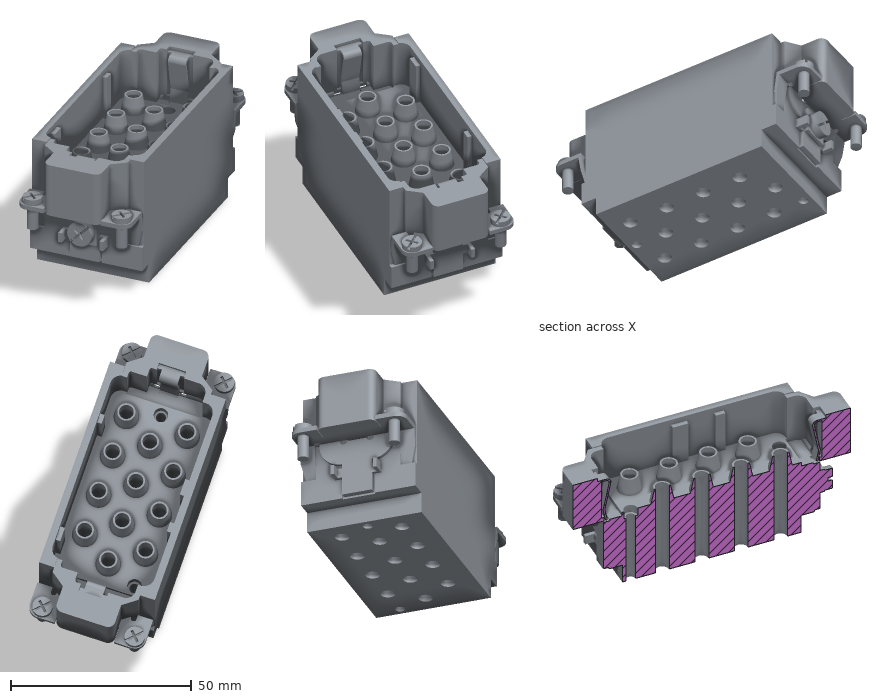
import cadquery as cq
import math


WIDTH = 34.0
HALF_WIDTH = WIDTH / 2
BASE_LENGTH = 54.3
BASE_HEIGHT = 6.0
BODY_LENGTH = 64.0
BODY_END = BODY_LENGTH / 2
WALL_LENGTH = 61.35
WALL_END = WALL_LENGTH / 2
WALL_TOP = 39.7
LEDGE_Z = 13.35

CAVITY_WIDTH = 29.8
CAVITY_END = 27.9
CAVITY_CORNER = 2.95
FLOOR_Z = 24.9

HOOD_END = 42.25
HOOD_TOP = 39.4
HOOD_BOTTOM = 23.5
HOOD_HALF = 8.5
HOOD_NECK_HALF = 12.6
HOOD_SHOULDER_Y = 35.0
HOOD_CORNER = 2.0

POCKET_HALF = 11.1
POCKET_START = 27.4
POCKET_END = 32.7
POCKET_STEP_X = -5.9
POCKET_STEP_Y = 29.9
POCKET_SMALL_CORNER = 0.8
POCKET_LARGE_CORNER = 2.7
POCKET_FLOOR = 23.7
RIDGE_WIDTH = 0.8
RIDGE_HEIGHT = 1.2
RIDGE_RADIUS = 1.35
RIDGE_HALF = 10.1

CLIP_WIDTH = 5.4
CLIP_SHEET = 0.7
CLIP_TOP = 38.3
CLIP_BEND_Y = 32.2
CLIP_BEND_RADIUS = 1.6
CLIP_KNEE_Y = 32.45
CLIP_KNEE_Z = 27.55
CLIP_FOOT_Y = 31.7
CLIP_RECESS_WIDTH = 8.0
CLIP_RECESS_END = 34.7
GROOVE_RADIUS = 1.1
GROOVE_X = 3.93
GROOVE_Z = 23.3
RELIEF_END = 33.5
WELL_START = 31.0
SLIT_START = 32.0
SLIT_Z = 23.15

PANEL_Y = 33.0
PANEL_TOP_HALF = 11.15
PANEL_ARC = 6.8
PANEL_ARC_BOTTOM = 16.1
PANEL_HALF = PANEL_TOP_HALF - PANEL_ARC
PANEL_BOTTOM = 6.6
PANEL_GAP = 0.38
PANEL_GAP_DEPTH = 0.7

CHANNEL_HALF = 6.85
CHEEK_THICKNESS = 1.1
CHEEK_END = 35.8
CHANNEL_BOTTOM = 12.0
CHANNEL_TOP = 14.9
WASHER_SIZE = 8.0
WASHER_END = 34.3
EARTH_Z = 16.2
EARTH_HEAD_RADIUS = 3.6
EARTH_HEAD_END = 36.8

FLANGE_END = 41.75
FLANGE_TOP = 24.85
FLANGE_BEND_Y = 32.2
FLANGE_CORNER = 3.1
FLANGE_GAP = 0.2
FLANGE_GAP_START = 37.2
LEG_INNER_X = 12.6
LEG_BOTTOM_Y = 31.4
LEG_TAPER_Z = 18.6
LEG_FOOT_X = 15.6
FLANGE_SLOT_X = 11.7
FLANGE_SLOT_WIDTH = 1.6
FLANGE_SLOT_END = 34.3

SCREW_PITCH_X = 27
SCREW_SHIFT_X = 0.25
SCREW_Y = 38.8
SCREW_HEAD_RADIUS = 2.8
SCREW_HEAD_TOP = 26.6
SCREW_SHANK_RADIUS = 1.6
SCREW_BOTTOM = 16.65
DRIVE_WIDTH = 0.8
DRIVE_DEPTH = 0.85
CROSS_LENGTH = 3.7
CROSS_DEPTH = 1.35
DRIVE_ANGLE = 45

CONTACT_COUNT = 8
CONTACT_PITCH_Y = 6.0
CONTACT_X = 8.915
CONE_BASE_RADIUS = 3.55
CONE_TOP_RADIUS = 2.5
CONE_TOP = 29.9
CONTACT_BORE = 4.05
BORE_DIAMETER = 2.8
COUNTERBORE_DIAMETER = 4.05
COUNTERBORE_DEPTH = 2.5
BORE_Y = 24.6

RIB_TOP = 37.9
RIB_DEPTH = 1.35
RIBS = [(-1, 13.35, 16.05), (-1, -22.5, -18.4), (1, 0.9, 5.7), (1, -10.3, -7.4)]


def block(x0, x1, y0, y1, z0, z1):
    return cq.Workplane("XY").box(x1 - x0, y1 - y0, z1 - z0, centered=False).translate((x0, y0, z0))


def upright(points, z0, z1):
    """A closed XY outline extruded from z0 to z1."""
    return cq.Workplane("XY").workplane(offset=z0).polyline(points).close().extrude(z1 - z0)


def profile_along_x(points, half_width):
    """A closed YZ outline extruded to both sides of the YZ plane."""
    return cq.Workplane("YZ").polyline(points).close().extrude(half_width, both=True)


def both_sides(shape):
    return shape.union(shape.mirror("YZ"))


def drive_cuts(size):
    """Screwdriver recess at the origin of a head facing +Z: a through slot and a short, deeper cross."""
    slot = cq.Workplane("XY").box(size, DRIVE_WIDTH, 2 * DRIVE_DEPTH)
    cross = cq.Workplane("XY").box(DRIVE_WIDTH, CROSS_LENGTH, 2 * CROSS_DEPTH)
    return slot.union(cross).rotate((0, 0, 0), (0, 0, 1), DRIVE_ANGLE)


def housing():
    base = block(-HALF_WIDTH, HALF_WIDTH, -BASE_LENGTH / 2, BASE_LENGTH / 2, 0, BASE_HEIGHT)
    lower = block(-HALF_WIDTH, HALF_WIDTH, -BODY_END, BODY_END, BASE_HEIGHT, LEDGE_Z)
    walls = block(-HALF_WIDTH, HALF_WIDTH, -WALL_END, WALL_END, LEDGE_Z, WALL_TOP)
    neck_opening = block(-HOOD_NECK_HALF, HOOD_NECK_HALF, -WALL_END, WALL_END, HOOD_TOP, WALL_TOP)
    return base.union(lower).union(walls).cut(neck_opening)


def hood():
    half_outline = [
        (HOOD_HALF, HOOD_END),
        (HOOD_HALF, HOOD_SHOULDER_Y),
        (HOOD_NECK_HALF, BODY_END),
        (HOOD_NECK_HALF, CAVITY_END),
    ]
    outline = half_outline + [(-x, y) for x, y in reversed(half_outline)]
    shell = upright(outline, HOOD_BOTTOM, HOOD_TOP).edges("|Z and >Y").fillet(HOOD_CORNER)
    support = block(-LEG_INNER_X, LEG_INNER_X, CAVITY_END, BODY_END, LEDGE_Z, HOOD_BOTTOM)
    return shell.union(support)


def panel():
    """Raised panel: quarter-round shoulders under the hood and a narrow tongue below."""
    arc_z = PANEL_ARC_BOTTOM + PANEL_ARC
    diagonal = PANEL_ARC * math.sqrt(0.5)
    arc_middle = (PANEL_HALF + diagonal, arc_z - diagonal)
    plate = (
        cq.Workplane("XZ", origin=(0, PANEL_Y, 0))
        .moveTo(0, HOOD_BOTTOM)
        .lineTo(PANEL_TOP_HALF, HOOD_BOTTOM)
        .lineTo(PANEL_TOP_HALF, arc_z)
        .threePointArc(arc_middle, (PANEL_HALF, PANEL_ARC_BOTTOM))
        .lineTo(PANEL_HALF, PANEL_BOTTOM)
        .lineTo(0, PANEL_BOTTOM)
        .close()
        .extrude(PANEL_Y - WALL_END)
    )
    return both_sides(plate)


def panel_gap():
    """Narrow groove in the end face around the tongue of the panel."""
    half = PANEL_HALF + PANEL_GAP
    depth_y = BODY_END - PANEL_GAP_DEPTH
    groove = block(-half, half, depth_y, BODY_END, BASE_HEIGHT, PANEL_ARC_BOTTOM)
    return groove.cut(panel())


def hood_pocket():
    """Open pocket in the hood with one stepped corner and a rounded ridge at the back of its floor."""
    outline = (
        cq.Workplane("XY")
        .workplane(offset=POCKET_FLOOR)
        .moveTo(-POCKET_HALF, POCKET_START)
        .lineTo(-POCKET_HALF, POCKET_STEP_Y - POCKET_SMALL_CORNER)
        .radiusArc((-POCKET_HALF + POCKET_SMALL_CORNER, POCKET_STEP_Y), POCKET_SMALL_CORNER)
        .lineTo(POCKET_STEP_X, POCKET_STEP_Y)
        .lineTo(POCKET_STEP_X, POCKET_END - POCKET_SMALL_CORNER)
        .radiusArc((POCKET_STEP_X + POCKET_SMALL_CORNER, POCKET_END), POCKET_SMALL_CORNER)
        .lineTo(POCKET_HALF - POCKET_LARGE_CORNER, POCKET_END)
        .radiusArc((POCKET_HALF, POCKET_END - POCKET_LARGE_CORNER), POCKET_LARGE_CORNER)
        .lineTo(POCKET_HALF, POCKET_START)
        .close()
    )
    ridge = (
        cq.Workplane("YZ")
        .moveTo(POCKET_END, POCKET_FLOOR)
        .lineTo(POCKET_END - RIDGE_WIDTH, POCKET_FLOOR)
        .radiusArc((POCKET_END, POCKET_FLOOR + RIDGE_HEIGHT), RIDGE_RADIUS)
        .close()
        .extrude(RIDGE_HALF, both=True)
    )
    return outline.extrude(WALL_TOP - POCKET_FLOOR).cut(ridge)


def clip_openings():
    """Recess and relief behind the clip, and the slit, well and grooves at its foot."""
    half = CLIP_RECESS_WIDTH / 2
    recess = block(-half, half, POCKET_STEP_Y, CLIP_RECESS_END, CLIP_TOP, WALL_TOP)
    relief = block(-half, half, POCKET_STEP_Y, RELIEF_END, FLOOR_Z, WALL_TOP)
    slit_half = GROOVE_X + GROOVE_RADIUS
    slit = block(-slit_half, slit_half, SLIT_START, PANEL_Y, SLIT_Z, HOOD_BOTTOM)
    well = block(-CLIP_WIDTH / 2, CLIP_WIDTH / 2, WELL_START, POCKET_END, SLIT_Z, FLOOR_Z)
    mouth = block(-slit_half, slit_half, SLIT_START, POCKET_END, SLIT_Z, FLOOR_Z)
    groove = (
        cq.Workplane("XZ", origin=(GROOVE_X, PANEL_Y, GROOVE_Z))
        .circle(GROOVE_RADIUS)
        .extrude(PANEL_Y - SLIT_START)
    )
    return recess.union(relief).union(slit).union(well).union(mouth).union(both_sides(groove))


def clip():
    """Leaf spring: flat top, rolled inward, sloping back to a knee and out again to a foot."""
    bend_z = CLIP_TOP - CLIP_BEND_RADIUS
    front_y = CLIP_BEND_Y - CLIP_BEND_RADIUS
    inner_radius = CLIP_BEND_RADIUS - CLIP_SHEET
    return (
        cq.Workplane("YZ")
        .moveTo(CLIP_RECESS_END, CLIP_TOP)
        .lineTo(CLIP_BEND_Y, CLIP_TOP)
        .radiusArc((front_y, bend_z), -CLIP_BEND_RADIUS)
        .lineTo(CLIP_KNEE_Y, CLIP_KNEE_Z)
        .lineTo(CLIP_FOOT_Y, POCKET_FLOOR)
        .lineTo(CLIP_FOOT_Y + CLIP_SHEET, POCKET_FLOOR)
        .lineTo(CLIP_KNEE_Y + CLIP_SHEET, CLIP_KNEE_Z)
        .lineTo(front_y + CLIP_SHEET, bend_z)
        .radiusArc((CLIP_BEND_Y, CLIP_TOP - CLIP_SHEET), inner_radius)
        .lineTo(CLIP_RECESS_END, CLIP_TOP - CLIP_SHEET)
        .close()
        .extrude(CLIP_WIDTH / 2, both=True)
    )


def channel():
    """U-shaped channel on the end face, opening outward."""
    inner_half = CHANNEL_HALF - CHEEK_THICKNESS
    outer = block(-CHANNEL_HALF, CHANNEL_HALF, BODY_END, CHEEK_END, CHANNEL_BOTTOM, CHANNEL_TOP)
    opening = block(-inner_half, inner_half, PANEL_Y, CHEEK_END, CHANNEL_BOTTOM, CHANNEL_TOP)
    return outer.cut(opening)


def flange():
    """Fixing flange at +X: a flat plate bent into a tapered leg that stands on the ledge."""
    section = [
        (FLANGE_END, HOOD_BOTTOM),
        (FLANGE_END, FLANGE_TOP),
        (FLANGE_BEND_Y, FLANGE_TOP),
        (WALL_END, LEDGE_Z),
        (LEG_BOTTOM_Y, LEDGE_Z),
        (PANEL_Y, HOOD_BOTTOM),
    ]
    sheet = profile_along_x(section, HALF_WIDTH)
    plate_outline = block(HOOD_HALF, HALF_WIDTH, WALL_END, FLANGE_END, HOOD_BOTTOM, FLANGE_TOP)
    plate_outline = plate_outline.edges("|Z and >X and >Y").fillet(FLANGE_CORNER)
    leg_points = [
        (LEG_INNER_X, HOOD_BOTTOM),
        (HALF_WIDTH, HOOD_BOTTOM),
        (HALF_WIDTH, LEG_TAPER_Z),
        (LEG_FOOT_X, LEDGE_Z),
        (LEG_INNER_X, LEDGE_Z),
    ]
    leg_outline = cq.Workplane("XZ").polyline(leg_points).close().extrude(-FLANGE_END)
    gap = block(HOOD_HALF, HOOD_HALF + FLANGE_GAP, FLANGE_GAP_START, FLANGE_END, HOOD_BOTTOM, FLANGE_TOP)
    return sheet.intersect(plate_outline.union(leg_outline)).cut(gap)


def flange_slots():
    """Slots beside the hood neck, rounded at the outer end."""
    radius = FLANGE_SLOT_WIDTH / 2
    round_y = FLANGE_SLOT_END - radius
    left = FLANGE_SLOT_X - radius
    right = FLANGE_SLOT_X + radius
    straight = block(left, right, BODY_END, round_y, HOOD_BOTTOM, FLANGE_TOP)
    round_end = cq.Workplane("XY", origin=(FLANGE_SLOT_X, round_y, HOOD_BOTTOM)).circle(radius)
    return both_sides(straight.union(round_end.extrude(FLANGE_TOP - HOOD_BOTTOM)))


def fixing_screw(x, y):
    length = SCREW_HEAD_TOP - SCREW_BOTTOM
    shank = cq.Workplane("XY").circle(SCREW_SHANK_RADIUS).extrude(-length)
    head = cq.Workplane("XY").circle(SCREW_HEAD_RADIUS).extrude(FLANGE_TOP - SCREW_HEAD_TOP)
    screw = shank.union(head).cut(drive_cuts(2 * SCREW_HEAD_RADIUS))
    return screw.translate((x, y, SCREW_HEAD_TOP))


def earth_screw():
    """Square washer and slotted head on the -Y end face."""
    half = WASHER_SIZE / 2
    washer = block(-half, half, -WASHER_END, -BODY_END, EARTH_Z - half, EARTH_Z + half)
    head = cq.Workplane("XY").circle(EARTH_HEAD_RADIUS).extrude(WASHER_END - EARTH_HEAD_END)
    head = head.cut(drive_cuts(2 * EARTH_HEAD_RADIUS))
    head = head.rotate((0, 0, 0), (1, 0, 0), 90).translate((0, -EARTH_HEAD_END, EARTH_Z))
    return washer.union(head)


def contact_positions():
    """Zigzag: an outer pair alternates with a single contact on the centre line."""
    first_y = CONTACT_PITCH_Y * (CONTACT_COUNT - 1) / 2
    positions = []
    for row in range(CONTACT_COUNT):
        y = first_y - row * CONTACT_PITCH_Y
        columns = (-CONTACT_X, CONTACT_X) if row % 2 == 0 else (0,)
        positions += [(x, y) for x in columns]
    return positions


flanges = both_sides(flange()).cut(flange_slots())
end = hood().union(panel()).union(flanges)
body = housing().union(end).union(end.mirror("XZ"))

cavity = block(-CAVITY_WIDTH / 2, CAVITY_WIDTH / 2, -CAVITY_END, CAVITY_END, FLOOR_Z, WALL_TOP)
body = body.cut(cavity.edges("|Z").fillet(CAVITY_CORNER))

pocket_with_openings = hood_pocket().union(clip_openings())
body = body.cut(pocket_with_openings).cut(pocket_with_openings.mirror("XZ"))
body = body.cut(panel_gap()).cut(panel_gap().mirror("XZ"))

fittings = clip().union(channel())
body = body.union(fittings).union(fittings.mirror("XZ")).union(earth_screw())
for side in (-1, 1):
    for screw_y in (-SCREW_Y, SCREW_Y):
        body = body.union(fixing_screw(side * SCREW_PITCH_X / 2 + SCREW_SHIFT_X, screw_y))

for side, low_y, high_y in RIBS:
    wall_x = side * CAVITY_WIDTH / 2
    tip_x = wall_x - side * RIB_DEPTH
    body = body.union(block(min(wall_x, tip_x), max(wall_x, tip_x), low_y, high_y, FLOOR_Z, RIB_TOP))

cone = cq.Solid.makeCone(CONE_BASE_RADIUS, CONE_TOP_RADIUS, CONE_TOP - FLOOR_Z)
cones = cq.Workplane("XY").workplane(offset=FLOOR_Z).pushPoints(contact_positions())
body = body.union(cones.eachpoint(cone))
contact_bores = cq.Workplane("XY").pushPoints(contact_positions()).circle(CONTACT_BORE / 2)
small_bores = cq.Workplane("XY", origin=(0, 0, FLOOR_Z)).pushPoints([(0, BORE_Y), (CONTACT_X, -BORE_Y)])
body = body.cut(contact_bores.extrude(WALL_TOP))
body = body.cut(small_bores.circle(COUNTERBORE_DIAMETER / 2).extrude(-COUNTERBORE_DEPTH))
body = body.cut(small_bores.circle(BORE_DIAMETER / 2).extrude(-FLOOR_Z))

result = body